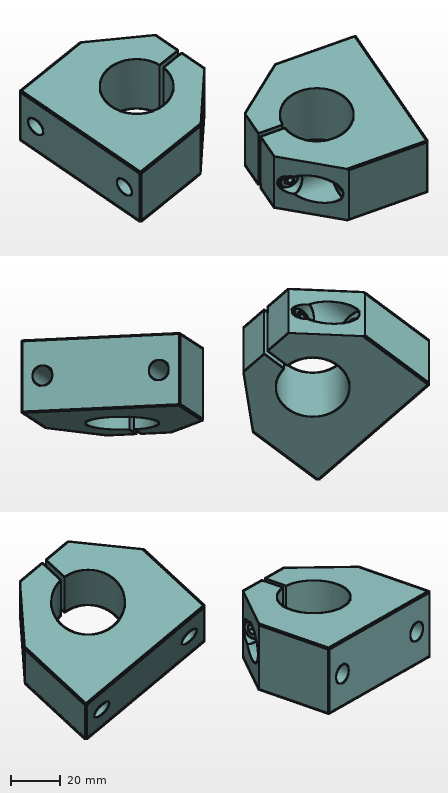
import cadquery as cq

width = 67.0
depth = 60.0
height = 30.0
edge_chamfer = 0.5

rear_width = 27.0
shoulder_length = 24.0
shoulder_y = depth - shoulder_length

bore_diameter = 30.0
bore_y = 34.05
slot_width = 2.0

mount_spacing = 49.05
mount_diameter = 8.4
mount_counterbore_diameter = 15.0
mount_seat_y = shoulder_y

screw_y = depth - 6.0
screw_recess_diameter = 10.0
screw_seat_x = -10.2
head_diameter = 8.5
head_height = 5.0
head_chamfer = 0.4
socket_corner_diameter = 4.6
socket_depth = 2.5


def make_block():
    """Box with chamfered front and long side edges, then sloping shoulders."""
    block = cq.Workplane("XY").box(width, depth, height).translate((0, depth / 2, 0))
    block = block.edges("|Y or <Y").chamfer(edge_chamfer)
    for side in (-1, 1):
        corner = (
            cq.Workplane("XY")
            .workplane(offset=-height / 2)
            .moveTo(side * width / 2, shoulder_y)
            .lineTo(side * width / 2, depth)
            .lineTo(side * rear_width / 2, depth)
            .close()
            .extrude(height)
        )
        block = block.cut(corner)
    return block


def cut_clamp_opening(body):
    """Vertical bore and the slot joining it to the rear face."""
    bore = cq.Workplane("XY").cylinder(height, bore_diameter / 2).translate((0, bore_y, 0))
    slot_length = depth - bore_y
    slot = cq.Workplane("XY").box(slot_width, slot_length, height).translate((0, bore_y + slot_length / 2, 0))
    return body.cut(bore).cut(slot)


def y_cylinder(diameter, x, start_y, end_y):
    """Cylinder along Y at mid height."""
    length = end_y - start_y
    return cq.Workplane(cq.Solid.makeCylinder(
        diameter / 2, length, cq.Vector(x, start_y, 0), cq.Vector(0, 1, 0)
    ))


def cut_mounting_holes(body):
    for x in (-mount_spacing / 2, mount_spacing / 2):
        body = body.cut(y_cylinder(mount_diameter, x, 0, depth))
        body = body.cut(y_cylinder(mount_counterbore_diameter, x, mount_seat_y, depth))
    return body


def add_clamp_screw(body):
    """Recess in the shoulder with a socket screw head resting on its floor."""
    seat = cq.Workplane("YZ", origin=(screw_seat_x, screw_y, 0))
    recess = seat.circle(screw_recess_diameter / 2).extrude(-(width / 2 + screw_seat_x))
    head = seat.circle(head_diameter / 2).extrude(-head_height)
    head = head.faces("<X").edges().chamfer(head_chamfer)
    socket = (
        cq.Workplane("YZ", origin=(screw_seat_x - head_height, screw_y, 0))
        .transformed(rotate=(0, 0, 90))
        .polygon(6, socket_corner_diameter)
        .extrude(socket_depth)
    )
    return body.cut(recess).union(head.cut(socket))


block = make_block()
clamp = cut_clamp_opening(block)
drilled_clamp = cut_mounting_holes(clamp)
result = add_clamp_screw(drilled_clamp)